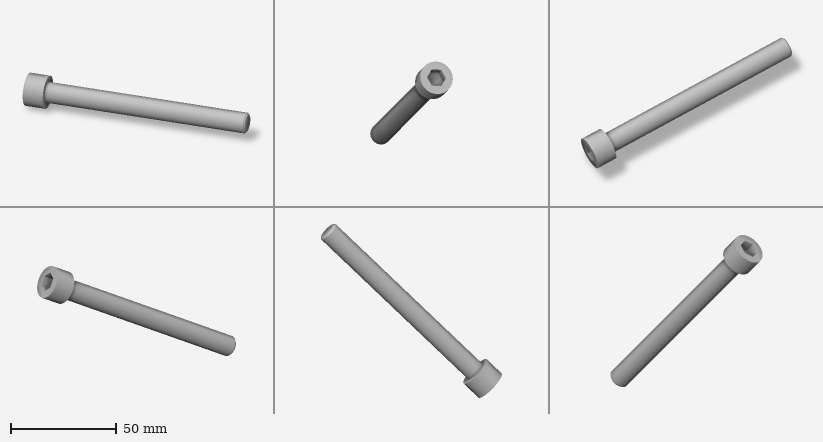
import cadquery as cq
import math

total_length = 110.0
head_diameter = 16.0
head_height = 10.0
shank_diameter = 10.0
tip_chamfer = 0.9

socket_across_flats = 8.0
socket_depth = 5.5
floor_cone_angle = 120.0

head_face_x = -total_length / 2
socket_across_corners = socket_across_flats / math.cos(math.radians(30))
cone_radius = socket_across_flats / 2
cone_depth = cone_radius / math.tan(math.radians(floor_cone_angle / 2))


def make_body():
    """Head and shank, with the far end of the shank chamfered."""
    head = cq.Workplane("YZ", origin=(head_face_x, 0, 0)).circle(head_diameter / 2).extrude(head_height)
    shank = (
        cq.Workplane("YZ", origin=(head_face_x, 0, 0))
        .circle(shank_diameter / 2)
        .extrude(total_length)
        .faces(">X")
        .chamfer(tip_chamfer)
    )
    return head.union(shank)


def make_socket():
    """Hexagon with corners on the Y axis, ending in a cone."""
    hexagon = (
        cq.Workplane("YZ", origin=(head_face_x, 0, 0))
        .polygon(6, socket_across_corners)
        .extrude(socket_depth)
    )
    floor_x = head_face_x + socket_depth
    cone = cq.Workplane(
        cq.Solid.makeCone(cone_radius, 0, cone_depth, cq.Vector(floor_x, 0, 0), cq.Vector(1, 0, 0))
    )
    return hexagon.union(cone)


result = make_body().cut(make_socket())